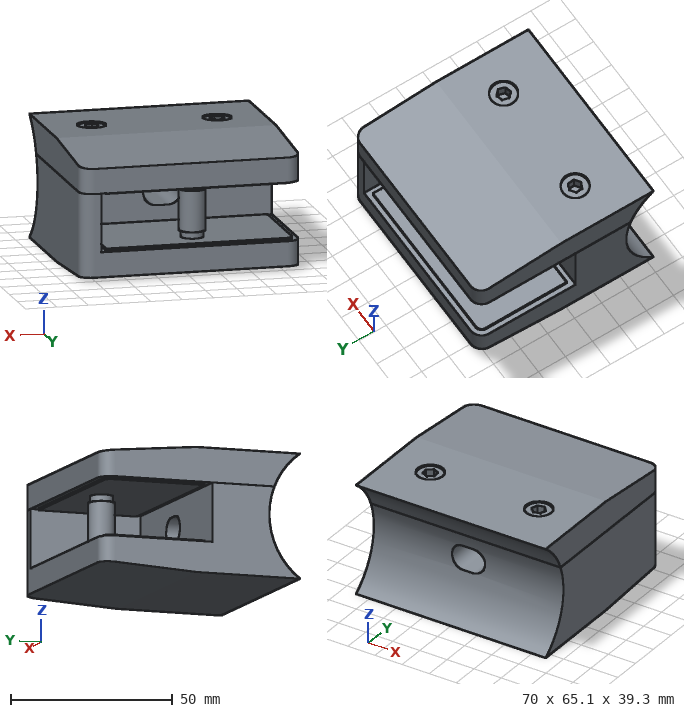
import cadquery as cq
import math

width = 70.0
depth = 65.1
height = 39.3
front_y = -depth / 2
back_y = depth / 2
left_x = -width / 2
right_x = width / 2

lower_jaw = 9.8
gap_height = 18.6
plate_z = lower_jaw + gap_height
tip_thickness = 8.0
taper_length = 30.95
corner_radius = 4.2
gap_depth = 36.25
wall_thickness = 6.3
tube_radius = 24.15

slot_length = 12.2
slot_height = 8.55
gap_centre_z = lower_jaw + gap_height / 2

pad_thickness = 0.6
pad_margin = 1.95

pin_end_diameter = 7.15
pin_diameter = 8.3
pin_setback = 11.5
pin_end_length = 2.1

screw_spacing = 40.05
screw_y = front_y + 19.1
head_diameter = 9.0
head_height = 5.0
head_recess = 0.2
head_rounding = 0.6
shank_diameter = 5.0
shank_length = 15.4
hex_across_flats = 4.05
hex_depth = 3.5
hex_flat_angles = (6.0, -16.0)

gap_floor_y = back_y - gap_depth
wall_x = right_x - wall_thickness
taper_y = back_y - taper_length
seat_axis_z = height / 2
seat_axis_y = front_y - math.sqrt(tube_radius**2 - seat_axis_z**2)
head_top_z = height - head_recess
head_bottom_z = head_top_z - head_height


def cylinder(x, y, bottom_z, diameter, length):
    return cq.Workplane("XY", origin=(x, y, bottom_z)).circle(diameter / 2).extrude(length)


def extrude_along_x(outline):
    """Extrude a list of (y, z) points over the full width."""
    return cq.Workplane("YZ", origin=(left_x, 0, 0)).polyline(outline).close().extrude(width)


def make_tube():
    """Cylinder that shapes the concave seat across both base and plate."""
    return (
        cq.Workplane("YZ", origin=(left_x, 0, 0))
        .center(seat_axis_y, seat_axis_z)
        .circle(tube_radius)
        .extrude(width)
    )


def make_base():
    base = extrude_along_x([
        (front_y, 0),
        (taper_y, 0),
        (back_y, lower_jaw - tip_thickness),
        (back_y, plate_z),
        (front_y, plate_z),
    ])
    base = base.edges("|Z and >Y").fillet(corner_radius)
    opening = cq.Workplane("XY").box(
        wall_x - left_x, gap_depth, gap_height, centered=False
    ).translate((left_x, gap_floor_y, lower_jaw))
    slot = (
        cq.Workplane("XZ", origin=(0, gap_floor_y, gap_centre_z))
        .slot2D(slot_length, slot_height)
        .extrude(gap_floor_y - front_y)
    )
    return base.cut(opening).cut(slot).cut(make_tube())


def make_plate():
    plate = extrude_along_x([
        (front_y, plate_z),
        (back_y, plate_z),
        (back_y, plate_z + tip_thickness),
        (taper_y, height),
        (front_y, height),
    ])
    plate = plate.edges("|Z and >Y").fillet(corner_radius)
    return plate.cut(make_tube())


def screw_shape(x):
    """Screw head and shank, without edge rounding or drive socket."""
    shank = cylinder(x, screw_y, head_bottom_z - shank_length, shank_diameter, shank_length)
    head = cylinder(x, screw_y, head_bottom_z, head_diameter, head_height)
    return shank.union(head)


def screw_hole(x):
    """Space that a screw takes up, open to the top of the plate."""
    counterbore = cylinder(x, screw_y, head_bottom_z, head_diameter, height - head_bottom_z)
    return screw_shape(x).union(counterbore)


def make_screw(x, hex_flat_angle):
    socket = (
        cq.Workplane("XY")
        .polygon(6, hex_across_flats, circumscribed=True)
        .extrude(-hex_depth)
        .rotate((0, 0, 0), (0, 0, 1), hex_flat_angle)
        .translate((x, screw_y, head_top_z))
    )
    return screw_shape(x).faces(">Z").edges().fillet(head_rounding).cut(socket)


def make_pad(bottom_z):
    """Flat pad whose outer back corner follows the rounded corner of the jaw."""
    pad_left = left_x + pad_margin
    pad_front = gap_floor_y + pad_margin
    pad = cq.Workplane("XY").box(
        wall_x - pad_margin - pad_left,
        back_y - pad_margin - pad_front,
        pad_thickness,
        centered=False,
    ).translate((pad_left, pad_front, bottom_z))
    return pad.edges("|Z and <X and >Y").fillet(corner_radius - pad_margin)


def make_pin():
    """Pin midway between the open end and the end wall, narrower at both ends."""
    pin_x = (left_x + wall_x) / 2
    pin_y = back_y - pin_setback
    bottom_z = lower_jaw + pad_thickness
    length = gap_height - 2 * pad_thickness
    core = cylinder(pin_x, pin_y, bottom_z, pin_end_diameter, length)
    sleeve_length = length - 2 * pin_end_length
    sleeve = cylinder(pin_x, pin_y, bottom_z + pin_end_length, pin_diameter, sleeve_length)
    return core.union(sleeve)


base = make_base()
plate = make_plate()
pads = [make_pad(z) for z in (lower_jaw, plate_z - pad_thickness)]
pin = make_pin()

screws = []
for screw_x, flat_angle in zip((-screw_spacing / 2, screw_spacing / 2), hex_flat_angles):
    hole = screw_hole(screw_x)
    base = base.cut(hole)
    plate = plate.cut(hole)
    screws.append(make_screw(screw_x, flat_angle))

result = cq.Compound.makeCompound([
    base.val(),
    plate.val(),
    *[screw.val() for screw in screws],
    *[pad.val() for pad in pads],
    pin.val(),
])